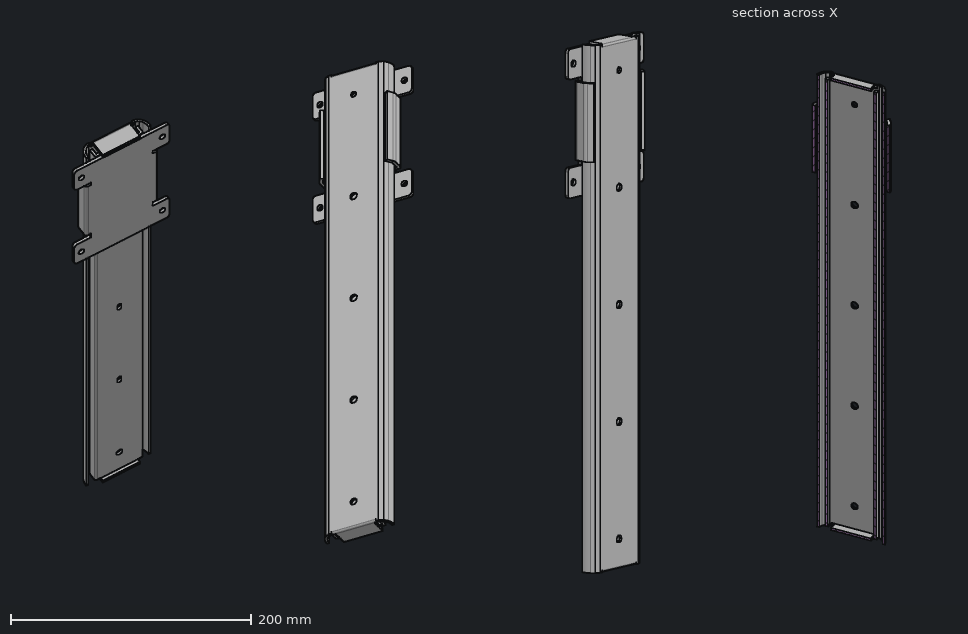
import cadquery as cq
import math

LENGTH = 450.0
DEPTH = 18.0

RAIL_SHEET = 2.2
WEB_HALF = 23.5
RAIL_HALF = 32.0
RAIL_EDGE = 12.5
SHOULDER_START = (2.0, 27.5)
SHOULDER_END = (5.0, 30.0)
FLANGE_ARC_MID = (8.5, 31.5)

TAB_SHEET = 2.5
TAB_BEND = 2.0
TAB_HALF = 18.5
TAB_ROOT_HALF = 21.0
TAB_REACH = 17.0

HOLE_PITCH = 100.0
HOLE_COUNT = 5
FIRST_HOLE_Z = 25.0
HOLE_PLACES = [(0, FIRST_HOLE_Z + i * HOLE_PITCH) for i in range(HOLE_COUNT)]
TOP_HOLE_D = 5.0
BOTTOM_HOLE_D = 6.0
MIDDLE_HOLE_D = 6.5
SLOT_WIDTH = 4.0
SLOT_LENGTH = 7.0

BRACKET_SHEET = 3.0
BRACKET_FRONT = DEPTH - BRACKET_SHEET
BRACKET_TOP = 447.8
BRACKET_BOTTOM = 320.5
NECK_HALF = 30.5
EAR_WIDTH = 94.0
EAR_HEIGHT = 26.0
EAR_RADIUS = 3.0
EAR_HOLE_D = 5.5
EAR_HOLE_Y = 40.0
EAR_HOLE_DROP = 13.0

GUIDE_BOTTOM = 351.5
GUIDE_TOP = 418.5
GUIDE_HALF = 36.0
GUIDE_BEND = 2.5
LIP_RUN = 6.0
LIP_ANGLE = math.radians(36)
LIP_BEND = 5.5

INNER_SHEET = 2.5
INNER_HALF = 24.0
INNER_BACK = 14.0
INNER_FRONT = 5.5
INNER_BEND = 2.0


def block(x_range, half_width, z_range):
    """A box centred on Y = 0."""
    size = (x_range[1] - x_range[0], 2 * half_width, z_range[1] - z_range[0])
    corner = (x_range[0], -half_width, z_range[0])
    return cq.Workplane("XY").box(*size, centered=False).translate(corner)


def with_mirror(half):
    """The half at +Y joined to its mirror image."""
    return half.union(half.mirror("XZ")).clean()


def holes_along_x(diameter, places):
    """Drills along X through the whole depth, at the given Y and Z places."""
    return cq.Workplane("YZ").pushPoints(places).circle(diameter / 2).extrude(DEPTH)


def end_holes():
    """Drills for the bottom and top rail holes, which pass through both rails."""
    bottom = holes_along_x(BOTTOM_HOLE_D, HOLE_PLACES[:1])
    top = holes_along_x(TOP_HOLE_D, HOLE_PLACES[-1:])
    return bottom.union(top)


def rail_core(inset):
    """Everything inside the rail's outer surface, shrunk by the inset."""
    outline = (
        cq.Workplane("XY")
        .moveTo(0, 0)
        .lineTo(0, WEB_HALF)
        .lineTo(*SHOULDER_START)
        .lineTo(*SHOULDER_END)
        .threePointArc(FLANGE_ARC_MID, (RAIL_EDGE, RAIL_HALF))
        .lineTo(DEPTH, RAIL_HALF)
        .lineTo(DEPTH, 0)
        .mirrorX()
    )
    if inset:
        outline = outline.offset2D(-inset)
    return outline.extrude(LENGTH)


def end_tab():
    """Tab bent from the bottom of the web, with a wider strip at the bend."""
    tab = block((0, TAB_REACH), TAB_HALF, (0, TAB_SHEET))
    root = block((0, TAB_SHEET), TAB_ROOT_HALF, (0, TAB_SHEET))
    bend = (
        cq.Workplane("XZ", origin=(0, TAB_ROOT_HALF, 0))
        .moveTo(0, 0)
        .lineTo(TAB_BEND, 0)
        .radiusArc((0, TAB_BEND), TAB_BEND)
        .close()
        .extrude(2 * TAB_ROOT_HALF)
    )
    return tab.union(root).cut(bend)


def build_outer_rail():
    beyond_edge = block((RAIL_EDGE, DEPTH), RAIL_HALF, (0, LENGTH))
    rail = rail_core(0).cut(rail_core(RAIL_SHEET)).cut(beyond_edge)
    bottom_tab = end_tab()
    bottom_room = block((0, TAB_SHEET), TAB_ROOT_HALF, (0, TAB_SHEET))
    middle = (0, 0, LENGTH / 2)
    rail = rail.cut(bottom_room).union(bottom_tab)
    rail = rail.cut(bottom_room.mirror("XY", middle)).union(bottom_tab.mirror("XY", middle))
    return rail.cut(end_holes()).cut(holes_along_x(MIDDLE_HOLE_D, HOLE_PLACES[1:-1]))


def build_inner_rail():
    """Channel that opens toward the web of the outer rail and fits between its tabs."""
    height = (TAB_SHEET, LENGTH - TAB_SHEET)
    channel = block((INNER_FRONT, INNER_BACK), INNER_HALF, height)
    channel = channel.edges(">X and |Z").fillet(INNER_BEND)
    cavity = block((INNER_FRONT, INNER_BACK - INNER_SHEET), INNER_HALF - INNER_SHEET, height)
    slots = (
        cq.Workplane("YZ")
        .pushPoints(HOLE_PLACES[1:-1])
        .slot2D(SLOT_LENGTH, SLOT_WIDTH, 90)
        .extrude(DEPTH)
    )
    return channel.cut(cavity).cut(end_holes()).cut(slots)


def ear_pair(top):
    """Plate strip that ends in a rounded ear with a hole on each side."""
    strip = block((BRACKET_FRONT, DEPTH), EAR_WIDTH / 2, (top - EAR_HEIGHT, top))
    strip = strip.edges("|X").fillet(EAR_RADIUS)
    hole_z = top - EAR_HOLE_DROP
    holes = holes_along_x(EAR_HOLE_D, [(-EAR_HOLE_Y, hole_z), (EAR_HOLE_Y, hole_z)])
    return strip.cut(holes)


def guide_pair():
    """Plate strip with walls that end in lips sloping in toward the rail web."""
    tip_y = GUIDE_HALF - LIP_RUN * math.tan(LIP_ANGLE)
    inner_tip = (BRACKET_SHEET * math.sin(LIP_ANGLE), tip_y - BRACKET_SHEET * math.cos(LIP_ANGLE))
    outer_corner = (LIP_RUN, GUIDE_HALF)
    inner_corner = (LIP_RUN + BRACKET_SHEET * math.tan(LIP_ANGLE / 2), GUIDE_HALF - BRACKET_SHEET)
    half = (
        cq.Workplane("XY", origin=(0, 0, GUIDE_BOTTOM))
        .moveTo(DEPTH, 0)
        .lineTo(DEPTH, GUIDE_HALF)
        .lineTo(*outer_corner)
        .lineTo(0, tip_y)
        .lineTo(*inner_tip)
        .lineTo(*inner_corner)
        .lineTo(BRACKET_FRONT, GUIDE_HALF - BRACKET_SHEET)
        .lineTo(BRACKET_FRONT, 0)
        .close()
        .extrude(GUIDE_TOP - GUIDE_BOTTOM)
    )

    def round_corner(solid, corner, radius):
        place = (*corner, (GUIDE_BOTTOM + GUIDE_TOP) / 2)
        return solid.edges(cq.NearestToPointSelector(place)).fillet(radius)

    half = round_corner(half, (DEPTH, GUIDE_HALF), GUIDE_BEND)
    half = round_corner(half, outer_corner, LIP_BEND)
    return with_mirror(half)


def build_bracket():
    plate = block((BRACKET_FRONT, DEPTH), NECK_HALF, (BRACKET_BOTTOM, BRACKET_TOP))
    plate = plate.union(ear_pair(BRACKET_TOP)).union(ear_pair(BRACKET_BOTTOM + EAR_HEIGHT))
    plate = plate.union(guide_pair())
    tab_notch = block((BRACKET_FRONT, DEPTH), TAB_HALF, (LENGTH - TAB_SHEET, LENGTH))
    return plate.cut(tab_notch)


outer_rail = build_outer_rail()
inner_rail = build_inner_rail()
bracket = build_bracket()

result = cq.Compound.makeCompound([outer_rail.val(), inner_rail.val(), bracket.val()])